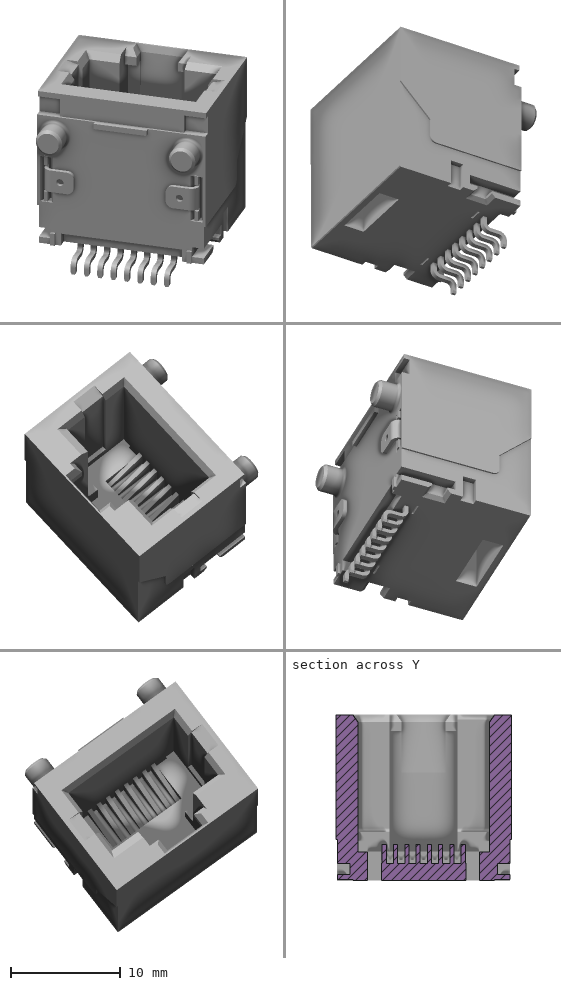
import cadquery as cq


WIDTH = 16.1
HEIGHT = 15.18
BACK_Y = 12.84
SIDE_STEP = 0.16
STEP_BACK_Z = 9.29
STEP_Y = 9.66
STEP_BASE_Z = 3.78
STEP_RADIUS = 0.64
BASE_CHAMFER = 0.09
LOWER_HALF_WIDTH = WIDTH / 2 - SIDE_STEP

PLATE_TOP_Z = 12.9
RIM_Y = 0.21
CORNER_WIDTH = 2.13
CORNER_Y = 0.76
CORNER_TOP_Z = HEIGHT - 0.53
RIB_WIDTH = 5.07
RIB_HEIGHT = 0.53
RIB_PROUD = 0.39

PEG_X = 6.37
PEG_Z = 11.08
PEG_RADIUS = 1.25
PEG_LENGTH = 2.02
PEG_CHAMFER = 0.25
PEG_FILLET = 0.25
PEG_ROOT = 0.18

CAVITY_HALF_WIDTH = 6.0
CAVITY_FRONT_Y = 2.7
CAVITY_BACK_Y = 9.47
FLOOR_Z = 2.66
LEAD_DEPTH = 0.67
LEAD_SIDE = 0.46
LEAD_FRONT = 0.45
LEAD_BACK_LEFT = 0.5
LEAD_BACK_RIGHT = 0.8
LEAD_DEPTH_RIGHT = 0.48
LEDGE_FRONT_Y = 8.28
LEDGE_Z = 4.43
LEDGE_FILLET = 0.35

LATCH_HALF_WIDTH = 3.12
LATCH_BACK_Y = 12.15
LATCH_FLOOR_Y = 10.1
SHOULDER_Y = 11.13
SHOULDER_Z = HEIGHT - 1.52
NECK_HALF_WIDTH = 1.99
NECK_BACK_Y = 12.45
NECK_LEAD_BACK = 0.25
NECK_LEAD_SIDE = 0.48
NECK_TAPER_Z = 9.88

SIDE_SLOT_X = 6.38
SIDE_SLOT_TOP_X = 7.59
SIDE_SLOT_Y = (4.88, 7.38)
SIDE_SLOT_DROP = 0.34
SIDE_SLOT_FLOOR_Z = 3.55

CONTACT_COUNT = 8
CONTACT_PITCH = 1.03
CONTACT_WIDTH = 0.43
CONTACT_THICKNESS = 0.35
CONTACT_RISE = 1.42
POCKET_HALF_WIDTH = 3.9
POCKET_BACK_Y = 6.7
POCKET_DEPTH = 1.06
SEPARATOR_FRONT_Y = 3.01
VENT_WIDTH = 1.19
VENT_DEPTH = 0.18

PIN_PITCH = 1.28
PIN_WIDTH = 0.5
PIN_THICKNESS = 0.39
PIN_ROOT_Y = 1.86
PIN_END_Y = -0.25
PIN_SHELF_Z = -1.24
PIN_END_Z = -2.55
PIN_BEND = 0.62
PIN_TIP_TAPER = 0.23
PIN_TIP_INSET = 0.1
PIN_ANCHOR = 0.53

TAIL_HALF_WIDTH = 5.78
TAIL_HEIGHT = 1.2
TAIL_DEPTH = 0.92
POST_WIDTH = 0.46
POST_PROUD = 0.23
FOOT_INNER_X = 6.75
FOOT_TOP_Z = 0.6
FOOT_RECESS_TOP_Z = 1.58
FOOT_RECESS_BACK_Y = 5.37
FOOT_GAP_Y = (3.03, 4.6)
FOOT_FLARE = 0.35
SIDE_NOTCH_Y = (6.1, 7.4)
SIDE_NOTCH_HEIGHT = 2.48
SIDE_NOTCH_DEPTH = 0.57

CLIP_SLOT_X = (6.6, 7.75)
CLIP_SLOT_FLOOR_X = (6.91, 7.45)
CLIP_SLOT_Z = (4.22, 8.75)
CLIP_SLOT_DEPTH = 0.89
CLIP_OUTER_X = 7.38
CLIP_THICKNESS = 0.37
CLIP_BLADE_Z = (4.33, 8.85)
CLIP_BLADE_PROUD = 0.09
CLIP_RELIEF_Z = (5.3, 7.95)
CLIP_TAB_Z = (5.51, 7.7)
CLIP_TAB_PROUD = 0.53
CLIP_TAB_END_X = 4.4
CLIP_BEND = 0.78
CLIP_CORNER = 0.67
CLIP_HOLE_X = 5.71
CLIP_HOLE_RADIUS = 0.34


def box(x0, x1, y0, y1, z0, z1):
    return cq.Workplane("XY").box(x1 - x0, y1 - y0, z1 - z0, centered=False).translate((x0, y0, z0))


def both_sides(solid):
    """Join a solid to its mirror image about the plane X = 0."""
    return solid.union(solid.mirror("YZ"))


def prism_along_x(outline, x0, x1):
    """Extrude a closed outline of (Y, Z) points from x0 to x1."""
    return cq.Workplane("YZ").workplane(offset=x0).polyline(outline).close().extrude(x1 - x0)


def flared_pocket(half_width, front_y, back_y, side_flare, front_flare, back_flare):
    """Rectangular funnel under the top face, wider at the top by the given flares."""
    low_center = (front_y + back_y) / 2
    low_length = back_y - front_y
    shift = (back_flare - front_flare) / 2
    return (
        cq.Workplane("XY")
        .workplane(offset=HEIGHT - LEAD_DEPTH)
        .center(0, low_center)
        .rect(2 * half_width, low_length)
        .workplane(offset=LEAD_DEPTH)
        .center(0, shift)
        .rect(2 * (half_width + side_flare), low_length + front_flare + back_flare)
        .loft()
    )


def housing():
    body = box(-LOWER_HALF_WIDTH, LOWER_HALF_WIDTH, 0, BACK_Y, 0, HEIGHT)
    body = body.faces(">Y").edges("<Z").chamfer(BASE_CHAMFER)
    diagonal_end_z = STEP_BACK_Z - (BACK_Y - STEP_Y)
    upper = (
        cq.Workplane("YZ")
        .workplane(offset=-WIDTH / 2)
        .moveTo(0, HEIGHT)
        .lineTo(BACK_Y, HEIGHT)
        .lineTo(BACK_Y, STEP_BACK_Z)
        .lineTo(STEP_Y, diagonal_end_z)
        .lineTo(STEP_Y, STEP_BASE_Z + STEP_RADIUS)
        .radiusArc((STEP_Y - STEP_RADIUS, STEP_BASE_Z), STEP_RADIUS)
        .lineTo(0, STEP_BASE_Z)
        .close()
        .extrude(WIDTH)
    )
    return body.union(upper)


def front_rim_cuts():
    half = WIDTH / 2
    step = box(-half, half, 0, RIM_Y, PLATE_TOP_Z, HEIGHT)
    corner = box(half - CORNER_WIDTH, half, 0, CORNER_Y, PLATE_TOP_Z, CORNER_TOP_Z)
    return step.union(both_sides(corner))


def front_rib():
    return box(-RIB_WIDTH / 2, RIB_WIDTH / 2, -RIB_PROUD, RIM_Y, PLATE_TOP_Z - RIB_HEIGHT, PLATE_TOP_Z)


def pegs():
    peg = (
        cq.Workplane("XY")
        .moveTo(0, PEG_ROOT)
        .lineTo(PEG_RADIUS + PEG_FILLET, PEG_ROOT)
        .lineTo(PEG_RADIUS + PEG_FILLET, 0)
        .radiusArc((PEG_RADIUS, -PEG_FILLET), -PEG_FILLET)
        .lineTo(PEG_RADIUS, PEG_CHAMFER - PEG_LENGTH)
        .lineTo(PEG_RADIUS - PEG_CHAMFER, -PEG_LENGTH)
        .lineTo(0, -PEG_LENGTH)
        .close()
        .revolve(360, (0, 0, 0), (0, 1, 0))
    )
    return both_sides(peg.translate((PEG_X, 0, PEG_Z)))


def mouth_lead_in():
    """Sloped lead-in, whose back face is steeper on the -X half than on the +X half."""
    low_z = HEIGHT - LEAD_DEPTH
    funnel = flared_pocket(CAVITY_HALF_WIDTH, CAVITY_FRONT_Y, BACK_Y, LEAD_SIDE, LEAD_FRONT, 0)
    left_outline = [
        (0, low_z),
        (CAVITY_BACK_Y, low_z),
        (CAVITY_BACK_Y + LEAD_BACK_LEFT, HEIGHT),
        (0, HEIGHT),
    ]
    right_outline = [
        (0, low_z),
        (CAVITY_BACK_Y, low_z),
        (CAVITY_BACK_Y, HEIGHT - LEAD_DEPTH_RIGHT),
        (CAVITY_BACK_Y + LEAD_BACK_RIGHT, HEIGHT),
        (0, HEIGHT),
    ]
    left = prism_along_x(left_outline, -WIDTH / 2, 0)
    right = prism_along_x(right_outline, 0, WIDTH / 2)
    return funnel.intersect(left.union(right))


def cavity():
    bore = box(
        -CAVITY_HALF_WIDTH, CAVITY_HALF_WIDTH, CAVITY_FRONT_Y, CAVITY_BACK_Y, FLOOR_Z, HEIGHT
    )
    ledge = (
        cq.Workplane("YZ")
        .workplane(offset=LATCH_HALF_WIDTH)
        .moveTo(LEDGE_FRONT_Y, FLOOR_Z)
        .lineTo(CAVITY_BACK_Y, FLOOR_Z)
        .lineTo(CAVITY_BACK_Y, LEDGE_Z + LEDGE_FILLET)
        .radiusArc((CAVITY_BACK_Y - LEDGE_FILLET, LEDGE_Z), LEDGE_FILLET)
        .lineTo(LEDGE_FRONT_Y, LEDGE_Z)
        .close()
        .extrude(CAVITY_HALF_WIDTH - LATCH_HALF_WIDTH)
    )
    return bore.cut(both_sides(ledge)).union(mouth_lead_in())


def latch_slot():
    wide = LATCH_HALF_WIDTH
    start_y = LEDGE_FRONT_Y
    slot = box(-wide, wide, start_y, SHOULDER_Y, FLOOR_Z, HEIGHT)
    slot = slot.union(box(-wide, wide, start_y, LATCH_BACK_Y, FLOOR_Z, SHOULDER_Z))
    slot = slot.union(box(-wide, wide, LATCH_FLOOR_Y, LATCH_BACK_Y, 0, SHOULDER_Z))
    shoulder_lead = flared_pocket(wide, start_y, SHOULDER_Y, 0, 0, NECK_LEAD_SIDE)
    neck_lead = flared_pocket(
        NECK_HALF_WIDTH, start_y, NECK_BACK_Y, NECK_LEAD_SIDE, 0, NECK_LEAD_BACK
    )
    neck_outline = [
        (start_y, NECK_TAPER_Z),
        (LATCH_BACK_Y, NECK_TAPER_Z),
        (NECK_BACK_Y, HEIGHT - LEAD_DEPTH),
        (start_y, HEIGHT - LEAD_DEPTH),
    ]
    neck = prism_along_x(neck_outline, -NECK_HALF_WIDTH, NECK_HALF_WIDTH)
    return slot.union(shoulder_lead).union(neck_lead).union(neck)


def side_slots():
    y0, y1 = SIDE_SLOT_Y
    slot = box(POCKET_HALF_WIDTH, SIDE_SLOT_X, y0, y1, SIDE_SLOT_FLOOR_Z, HEIGHT)
    ramp = (
        cq.Workplane("XZ", origin=(0, y1, 0))
        .polyline([
            (SIDE_SLOT_X, HEIGHT),
            (SIDE_SLOT_TOP_X, HEIGHT),
            (SIDE_SLOT_X, HEIGHT - SIDE_SLOT_DROP),
        ])
        .close()
        .extrude(y1 - y0)
    )
    return both_sides(slot.union(ramp))


def contact_pocket():
    half = POCKET_HALF_WIDTH
    pocket = box(-half, half, CAVITY_FRONT_Y, POCKET_BACK_Y, FLOOR_Z - POCKET_DEPTH, FLOOR_Z)
    vent = box(half, half + VENT_WIDTH, CAVITY_FRONT_Y, CAVITY_FRONT_Y + VENT_DEPTH, 0, FLOOR_Z)
    return pocket.union(both_sides(vent))


def row_positions(count, pitch):
    return [(i - (count - 1) / 2) * pitch for i in range(count)]


def contacts():
    """Sloped contact strips with round-topped separators between them."""
    floor_z = FLOOR_Z - POCKET_DEPTH
    strip_outline = [
        (POCKET_BACK_Y, floor_z),
        (POCKET_BACK_Y, floor_z + CONTACT_THICKNESS),
        (CAVITY_FRONT_Y, floor_z + CONTACT_THICKNESS + CONTACT_RISE),
        (CAVITY_FRONT_Y, floor_z),
    ]
    parts = cq.Workplane("XY")
    for x in row_positions(CONTACT_COUNT, CONTACT_PITCH):
        strip = prism_along_x(strip_outline, x - CONTACT_WIDTH / 2, x + CONTACT_WIDTH / 2)
        parts = parts.union(strip)
    radius = (CONTACT_PITCH - CONTACT_WIDTH) / 2
    for x in row_positions(CONTACT_COUNT - 1, CONTACT_PITCH):
        separator = (
            cq.Workplane("XZ", origin=(x, POCKET_BACK_Y, floor_z))
            .circle(radius)
            .extrude(POCKET_BACK_Y - SEPARATOR_FRONT_Y)
        )
        parts = parts.union(separator)
    return parts


def pins():
    """S-bent pins with tapered tips."""
    half = PIN_THICKNESS / 2
    inner = PIN_BEND - half
    outer = PIN_BEND + half
    first_y = PIN_ROOT_Y - PIN_BEND
    last_y = PIN_END_Y + PIN_BEND
    blank = (
        cq.Workplane("YZ")
        .moveTo(PIN_ROOT_Y + half, PIN_ANCHOR)
        .lineTo(PIN_ROOT_Y + half, PIN_SHELF_Z + PIN_BEND)
        .radiusArc((first_y, PIN_SHELF_Z - half), outer)
        .lineTo(last_y, PIN_SHELF_Z - half)
        .radiusArc((PIN_END_Y + half, PIN_SHELF_Z - PIN_BEND), -inner)
        .lineTo(PIN_END_Y + half, PIN_END_Z)
        .lineTo(PIN_END_Y - half, PIN_END_Z)
        .lineTo(PIN_END_Y - half, PIN_SHELF_Z - PIN_BEND)
        .radiusArc((last_y, PIN_SHELF_Z + half), outer)
        .lineTo(first_y, PIN_SHELF_Z + half)
        .radiusArc((PIN_ROOT_Y - half, PIN_SHELF_Z + PIN_BEND), -inner)
        .lineTo(PIN_ROOT_Y - half, PIN_ANCHOR)
        .close()
        .extrude(PIN_WIDTH / 2, both=True)
    )
    pin = blank.faces("<Z").edges("|Y").chamfer(PIN_TIP_TAPER, PIN_TIP_INSET)
    row = cq.Workplane("XY")
    for x in row_positions(CONTACT_COUNT, PIN_PITCH):
        row = row.union(pin.translate((x, 0, 0)))
    return row


def base_cuts():
    tail = box(-TAIL_HALF_WIDTH, TAIL_HALF_WIDTH, 0, TAIL_DEPTH, 0, TAIL_HEIGHT)
    outer_x = WIDTH / 2
    recess = box(
        FOOT_INNER_X, outer_x, 0, FOOT_RECESS_BACK_Y, FOOT_TOP_Z, FOOT_RECESS_TOP_Z
    )
    y0, y1 = FOOT_GAP_Y
    gap = box(FOOT_INNER_X, outer_x, y0, y1, 0, FOOT_TOP_Z)
    flare = (
        cq.Workplane("XY")
        .center((FOOT_INNER_X + outer_x) / 2, (y0 + y1) / 2)
        .rect(outer_x - FOOT_INNER_X + 2 * FOOT_FLARE, y1 - y0 + 2 * FOOT_FLARE)
        .extrude(FOOT_FLARE, taper=45)
    )
    notch = box(LOWER_HALF_WIDTH - SIDE_NOTCH_DEPTH, outer_x, *SIDE_NOTCH_Y, 0, SIDE_NOTCH_HEIGHT)
    return tail.union(both_sides(recess.union(gap).union(flare).union(notch)))


def posts():
    post = box(FOOT_INNER_X - POST_WIDTH, FOOT_INNER_X, -POST_PROUD, TAIL_DEPTH, 0, TAIL_HEIGHT)
    return both_sides(post)


def clip_slots():
    """Slots that narrow toward their floors."""
    inner, outer = CLIP_SLOT_X
    floor_inner, floor_outer = CLIP_SLOT_FLOOR_X
    bottom, top = CLIP_SLOT_Z
    slot = (
        cq.Workplane("XY")
        .workplane(offset=bottom)
        .polyline([
            (inner, 0),
            (outer, 0),
            (floor_outer, CLIP_SLOT_DEPTH),
            (floor_inner, CLIP_SLOT_DEPTH),
        ])
        .close()
        .extrude(top - bottom)
    )
    return both_sides(slot)


def clips():
    """Blade standing in its slot, with a tab bent over toward the middle of the part."""
    inner_x = CLIP_OUTER_X - CLIP_THICKNESS
    tab_bottom, tab_top = CLIP_TAB_Z
    blade = box(inner_x, CLIP_OUTER_X, -CLIP_BLADE_PROUD, CLIP_SLOT_DEPTH, *CLIP_BLADE_Z)
    bend_y = CLIP_BEND - CLIP_TAB_PROUD
    blade = blade.cut(box(inner_x, CLIP_OUTER_X, -CLIP_BLADE_PROUD, bend_y, *CLIP_RELIEF_Z))
    bend_x = CLIP_OUTER_X - CLIP_BEND
    inner_bend = CLIP_BEND - CLIP_THICKNESS
    tab = (
        cq.Workplane("XY")
        .workplane(offset=tab_bottom)
        .moveTo(CLIP_OUTER_X, CLIP_SLOT_DEPTH)
        .lineTo(CLIP_OUTER_X, bend_y)
        .radiusArc((bend_x, -CLIP_TAB_PROUD), CLIP_BEND)
        .lineTo(CLIP_TAB_END_X, -CLIP_TAB_PROUD)
        .lineTo(CLIP_TAB_END_X, CLIP_THICKNESS - CLIP_TAB_PROUD)
        .lineTo(bend_x, CLIP_THICKNESS - CLIP_TAB_PROUD)
        .radiusArc((inner_x, bend_y), -inner_bend)
        .lineTo(inner_x, CLIP_SLOT_DEPTH)
        .close()
        .extrude(tab_top - tab_bottom)
    )
    tab = tab.faces("<X").edges("|Y").fillet(CLIP_CORNER)
    hole = (
        cq.Workplane("XZ", origin=(CLIP_HOLE_X, 0, (tab_bottom + tab_top) / 2))
        .circle(CLIP_HOLE_RADIUS)
        .extrude(CLIP_TAB_PROUD)
    )
    return both_sides(blade.union(tab.cut(hole)))


result = (
    housing()
    .cut(front_rim_cuts())
    .cut(cavity())
    .cut(latch_slot())
    .cut(side_slots())
    .cut(contact_pocket())
    .cut(base_cuts())
    .cut(clip_slots())
    .union(contacts())
    .union(front_rib())
    .union(pegs())
    .union(posts())
    .union(clips())
    .union(pins())
)